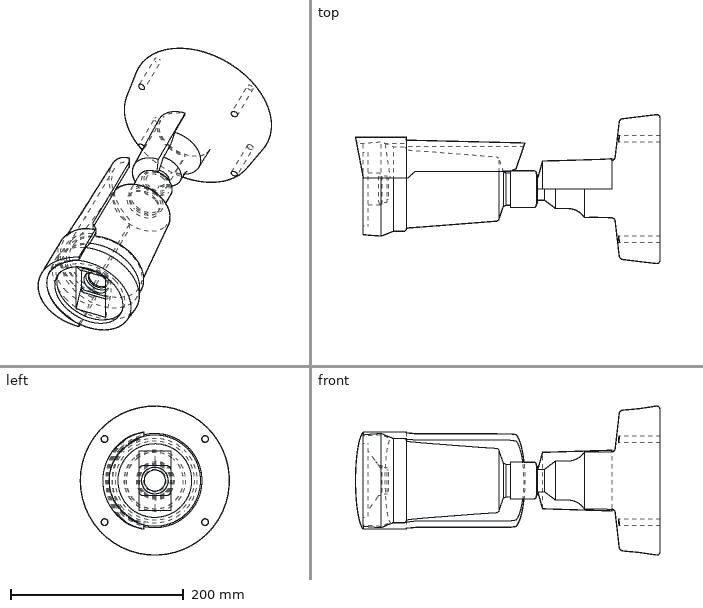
import cadquery as cq


front_radius = 52.9
ring_x = 9.9
ring_radius = 53.8
bezel_end_x = 21.2
bezel_radius = 54.6
collar_x = 35.2
collar_end_x = 47.1
collar_radius = 49.0
collar_round = 3.2
collar_back_x = collar_end_x + collar_round
collar_back_radius = collar_radius - collar_round
body_x = 53.5
body_radius = 45.1
body_end_x = 154.2
body_end_radius = 37.3
shoulder_x = 157.3
shoulder_radius = 35.6
tail_x = 162.6
tail_radius = 20.1

groove_x = 165.8
groove_radius = 18.9
knuckle_x = 170.6
knuckle_radius = 21.5
knuckle_end_x = 200.8
knuckle_end_radius = 18.0
knuckle_round = 3.2
neck_x = 202.4
neck_start_radius = 15.8
neck_radius = 13.0
stem_cone_x = 210.3
stem_x = 223.0
stem_radius = 22.6
flare_x = 237.3
flare_end_x = 256.4
flare_end_radius = 32.9

stem_end_radius = 33.3
base_front_x = 291.5
base_face_x = 297.0
base_front_radius = 81.2
base_back_x = 344.1
base_radius = 86.96
root_fillet = 4.0
base_front_fillet = 5.0
base_back_fillet = 4.0
screw_hole_diameter = 7.5
screw_spacing_y = 116.4
screw_spacing_z = 96.2

cover_rim_x = 207.9
cover_rim_radius = 32.8
cover_end_x = 288.2
cover_end_radius = 35.3

window_radius = 42.7
window_depth = 6.0
wedge_width = 37.0
wedge_mouth_height = 68.8
wedge_floor_height = 24.4
wedge_depth = 16.0
lens_pocket_height = 35.0
lens_pocket_corner = (lens_pocket_height - wedge_floor_height) / 2
lens_radius = 15.4
lens_depth = 5.6
lens_core_radius = 12.2
lens_core_depth = 2.0

shield_thickness = 7.4
shield_edge_y = 12.8
shield_rear_edge_y = 20.6
shield_center_y = 3.1
shield_radius = 57.1
shield_crown_y = shield_center_y + shield_radius
shield_tip_x = -8.73
shield_front_edge_x = 0.4
shield_lip_fillet = 4.0
shield_step_x = 50.3
jog_start_x = 52.0
jog_end_x = 60.4
rear_half_width = 55.2
rear_crown_y = 56.9
rear_end_crown_y = 53.6
rear_inner_crown_y = rear_crown_y - shield_thickness
rear_corner_x = 170.5
rear_slant_x = 177.4
rear_slant_y = 23.5
shield_end_x = 187.7
rear_corner_round = 3.2


def revolve_about_x(profile):
    return profile.close().revolve(360, (0, 0, 0), (1, 0, 0))


def make_housing():
    profile = (
        cq.Workplane("XY")
        .moveTo(0, 0)
        .lineTo(0, front_radius)
        .lineTo(ring_x, ring_radius)
        .lineTo(bezel_end_x, bezel_radius)
        .lineTo(collar_x, collar_radius)
        .lineTo(collar_end_x, collar_radius)
        .tangentArcPoint((collar_back_x, collar_back_radius), relative=False)
        .lineTo(body_x, body_radius)
        .lineTo(body_end_x, body_end_radius)
        .tangentArcPoint((shoulder_x, shoulder_radius), relative=False)
        .lineTo(tail_x, tail_radius)
        .lineTo(tail_x, 0)
    )
    return revolve_about_x(profile)


def make_stem():
    profile = (
        cq.Workplane("XY")
        .moveTo(tail_x, 0)
        .lineTo(tail_x, tail_radius)
        .lineTo(groove_x, groove_radius)
        .lineTo(knuckle_x, groove_radius)
        .lineTo(knuckle_x, knuckle_radius)
        .lineTo(knuckle_end_x - knuckle_round, knuckle_radius)
        .tangentArcPoint((knuckle_end_x, knuckle_end_radius), relative=False)
        .lineTo(neck_x, neck_start_radius)
        .lineTo(neck_x, neck_radius)
        .lineTo(stem_cone_x, neck_radius)
        .lineTo(stem_x, stem_radius)
        .lineTo(flare_x, stem_radius)
        .tangentArcPoint((flare_end_x, flare_end_radius), relative=False)
        .lineTo(base_front_x, stem_end_radius)
        .lineTo(base_front_x, 0)
    )
    return revolve_about_x(profile)


def circle_edge_at(x, radius):
    """Selector for a circular edge around the X axis, with a little room on every side."""
    margin = 0.1
    reach = radius + margin
    low_corner = (x - margin, -reach, -reach)
    high_corner = (x + margin, reach, reach)
    return cq.selectors.BoxSelector(low_corner, high_corner, boundingbox=True)


def make_base():
    profile = (
        cq.Workplane("XY")
        .moveTo(base_front_x, 0)
        .lineTo(base_front_x, stem_end_radius)
        .lineTo(base_face_x, base_front_radius)
        .lineTo(base_back_x, base_radius)
        .lineTo(base_back_x, 0)
    )
    base = revolve_about_x(profile)
    base = base.edges(circle_edge_at(base_face_x, base_front_radius)).fillet(base_front_fillet)
    return base.edges(circle_edge_at(base_back_x, base_radius)).fillet(base_back_fillet)


def make_screw_holes():
    return (
        cq.Workplane("YZ", origin=(base_front_x, 0, 0))
        .rect(screw_spacing_y, screw_spacing_z, forConstruction=True)
        .vertices()
        .circle(screw_hole_diameter / 2)
        .extrude(base_back_x - base_front_x)
    )


def make_half_cover():
    profile = (
        cq.Workplane("XY")
        .moveTo(neck_x, 0)
        .lineTo(neck_x, neck_radius)
        .lineTo(cover_rim_x, cover_rim_radius)
        .lineTo(cover_end_x, cover_end_radius)
        .lineTo(cover_end_x, 0)
    )
    beside_axis = (False, False, True)
    half_space = cq.Workplane("XY").box(base_back_x, base_radius, 2 * base_radius, centered=beside_axis)
    return revolve_about_x(profile).intersect(half_space)


def bore(x, radius, depth):
    return cq.Workplane("YZ", origin=(x, 0, 0)).circle(radius).extrude(depth)


def make_lens_opening():
    wedge_floor_x = window_depth + wedge_depth
    lens_floor_x = wedge_floor_x + lens_depth
    wedge = (
        cq.Workplane("XZ", origin=(0, wedge_width / 2, 0))
        .moveTo(window_depth, -wedge_mouth_height / 2)
        .lineTo(window_depth, wedge_mouth_height / 2)
        .lineTo(wedge_floor_x, wedge_floor_height / 2)
        .lineTo(wedge_floor_x, -wedge_floor_height / 2)
        .close()
        .extrude(wedge_width)
    )
    lens_pocket = (
        cq.Workplane("YZ", origin=(window_depth, 0, 0))
        .rect(wedge_width, lens_pocket_height)
        .extrude(wedge_depth)
        .edges("|X")
        .fillet(lens_pocket_corner)
    )
    return (
        bore(0, window_radius, window_depth)
        .union(wedge)
        .union(lens_pocket)
        .union(bore(wedge_floor_x, lens_radius, lens_depth))
        .union(bore(lens_floor_x, lens_core_radius, lens_core_depth))
    )


def make_camera():
    camera = make_housing().union(make_stem()).union(make_base())
    camera = camera.edges(circle_edge_at(base_front_x, stem_end_radius)).fillet(root_fillet)
    return camera.union(make_half_cover()).cut(make_screw_holes()).cut(make_lens_opening())


def make_front_shell():
    inner_radius = shield_radius - shield_thickness
    tube = (
        cq.Workplane("YZ", origin=(shield_tip_x, 0, 0))
        .center(shield_center_y, 0)
        .circle(shield_radius)
        .circle(inner_radius)
        .extrude(shield_step_x - shield_tip_x)
    )
    planform = (
        cq.Workplane("XY")
        .moveTo(shield_front_edge_x, shield_edge_y)
        .lineTo(shield_tip_x, shield_crown_y)
        .lineTo(shield_step_x, shield_crown_y)
        .lineTo(shield_step_x, shield_edge_y)
        .close()
        .extrude(shield_radius, both=True)
    )
    return tube.intersect(planform).faces("<<X").edges(">>Y[-2]").fillet(shield_lip_fillet)


def elliptic_loft(half_width, start_crown_y, end_crown_y):
    """Solid with an elliptic section whose crown runs straight from the start to the end height."""
    return (
        cq.Workplane("YZ", origin=(shield_step_x, shield_edge_y, 0))
        .ellipse(start_crown_y - shield_edge_y, half_width)
        .workplane(offset=shield_end_x - shield_step_x)
        .ellipse(end_crown_y - shield_edge_y, half_width)
        .loft(ruled=True)
    )


def make_rear_planform():
    rounded_corners = [
        (jog_start_x, shield_edge_y),
        (jog_end_x, shield_rear_edge_y),
        (rear_corner_x, shield_rear_edge_y),
        (rear_slant_x, rear_slant_y),
    ]
    outline = [
        (shield_step_x, shield_edge_y),
        *rounded_corners,
        (shield_end_x, rear_end_crown_y),
        (shield_step_x, rear_crown_y),
    ]
    planform = cq.Workplane("XY").polyline(outline).close().extrude(shield_radius, both=True)
    for x, y in rounded_corners:
        corner_edge = cq.selectors.NearestToPointSelector((x, y, 0))
        planform = planform.edges("|Z").edges(corner_edge).fillet(rear_corner_round)
    return planform


def make_rear_shell():
    outside = elliptic_loft(rear_half_width, rear_crown_y, rear_end_crown_y)
    inner_half_width = rear_half_width - shield_thickness
    inside = elliptic_loft(inner_half_width, rear_inner_crown_y, rear_inner_crown_y)
    return outside.cut(inside).intersect(make_rear_planform())


camera = make_camera()

sunshield = make_front_shell().union(make_rear_shell()).cut(camera)

result = cq.Compound.makeCompound([camera.solids().val(), sunshield.solids().val()])